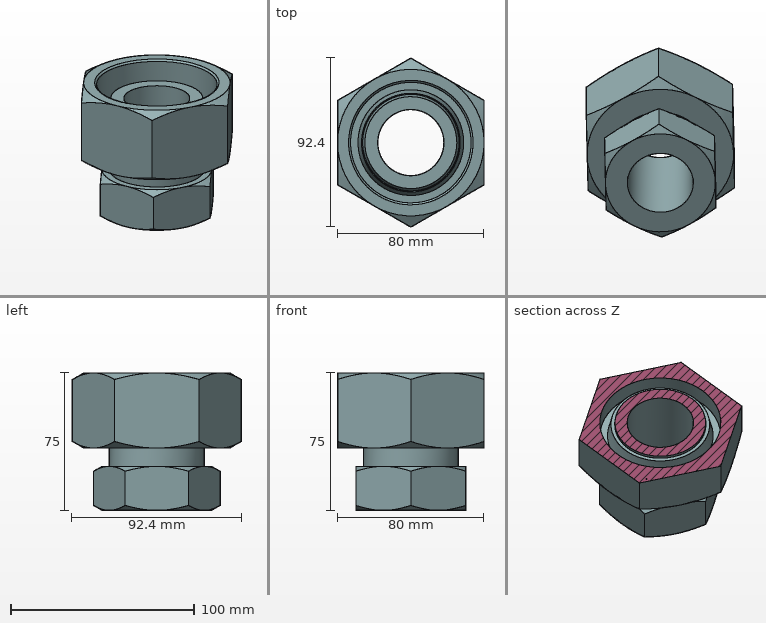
import cadquery as cq
import math

total_height = 75.0
small_hex_height = 24.0
large_hex_height = 41.0
large_hex_base = total_height - large_hex_height

large_hex_flats = 80.0
small_hex_flats = 60.0
hex_sides = 6
hex_turn = 180 / hex_sides
hex_bevel_angle = math.radians(30)
neck_diameter = 52.0

mouth_diameter = 68.0
socket_diameter = 65.83
socket_floor_z = 48.0
socket_chamfer_height = 1.0

bore_diameter = 36.0
cone_tip_diameter = 50.2
cone_tip_z = 65.75
cone_slope = math.tan(math.radians(12))
groove_top_depth = 5.9
groove_width = 2.8
groove_floor_diameter = 49.84


def cone_radius(z):
    """Radius of the sealing cone at height z."""
    return cone_tip_diameter / 2 + (cone_tip_z - z) * cone_slope


def beveled_hex(flats, base_z, height):
    """Hexagon with corners on the Y axis, both ends turned to a cone that starts at the flats."""
    corner_radius = flats / math.sqrt(3)
    flat_radius = flats / 2
    bevel_height = (corner_radius - flat_radius) * math.tan(hex_bevel_angle)
    prism = (
        cq.Workplane("XY", origin=(0, 0, base_z))
        .polygon(hex_sides, 2 * corner_radius)
        .extrude(height)
        .rotate((0, 0, 0), (0, 0, 1), hex_turn)
    )
    envelope = (
        cq.Workplane("XZ")
        .moveTo(0, base_z)
        .lineTo(flat_radius, base_z)
        .lineTo(corner_radius, base_z + bevel_height)
        .lineTo(corner_radius, base_z + height - bevel_height)
        .lineTo(flat_radius, base_z + height)
        .lineTo(0, base_z + height)
        .close()
        .revolve(360, (0, 0, 0), (0, 1, 0))
    )
    return prism.intersect(envelope)


def cylinder(diameter, base_z, top_z):
    """Round bar on the Z axis between two heights."""
    return cq.Workplane("XY", origin=(0, 0, base_z)).circle(diameter / 2).extrude(top_z - base_z)


def chamfered_socket():
    """Space of the socket, from its floor up to the chamfered mouth."""
    socket_radius = socket_diameter / 2
    return (
        cq.Workplane("XZ")
        .moveTo(0, socket_floor_z)
        .lineTo(socket_radius, socket_floor_z)
        .lineTo(socket_radius, total_height - socket_chamfer_height)
        .lineTo(mouth_diameter / 2, total_height)
        .lineTo(0, total_height)
        .close()
        .revolve(360, (0, 0, 0), (0, 1, 0))
    )


def sealing_cone():
    """Tapered spigot with a square O-ring groove."""
    groove_top_z = cone_tip_z - groove_top_depth
    groove_bottom_z = groove_top_z - groove_width
    groove_floor_radius = groove_floor_diameter / 2
    return (
        cq.Workplane("XZ")
        .moveTo(0, socket_floor_z)
        .lineTo(cone_radius(socket_floor_z), socket_floor_z)
        .lineTo(cone_radius(groove_bottom_z), groove_bottom_z)
        .lineTo(groove_floor_radius, groove_bottom_z)
        .lineTo(groove_floor_radius, groove_top_z)
        .lineTo(cone_radius(groove_top_z), groove_top_z)
        .lineTo(cone_tip_diameter / 2, cone_tip_z)
        .lineTo(0, cone_tip_z)
        .close()
        .revolve(360, (0, 0, 0), (0, 1, 0))
    )


small_hex = beveled_hex(small_hex_flats, 0, small_hex_height)
neck = cylinder(neck_diameter, small_hex_height, large_hex_base)
large_hex = beveled_hex(large_hex_flats, large_hex_base, large_hex_height)

body = small_hex.union(neck).union(large_hex)
body = body.cut(chamfered_socket()).union(sealing_cone())
result = body.cut(cylinder(bore_diameter, 0, total_height))